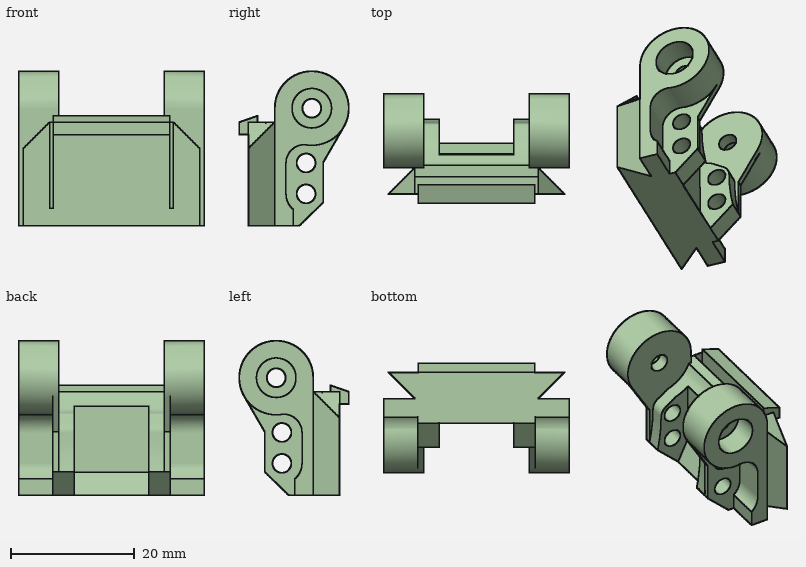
import cadquery as cq
import math

HALF_WIDTH = 15.0
PIVOT_Z = 19.0
PIVOT_RADIUS = 6.0
PIVOT_HOLE_DIA = 3.0
PIVOT_BORE_DIA = 6.4
PIVOT_BORE_DEPTH = 4.3

EAR_INNER_X = 8.5
EAR_PLATE_THICKNESS = 1.0
BACK_Y = 1.88
BACK_TOP_Z = 10.27
BACK_BOTTOM_Z = 3.8
HEEL_Y = -2.0

PIN_DIA = 3.0
PIN_Y = -0.92
UPPER_PIN_Z = 10.16
PIN_SPACING = 5.0
RELIEF_RADIUS = 3.25
RELIEF_TOP_RADIUS = 3.0
RELIEF_TOP_Z = 13.12
FOOT_Y = -3.0

CHEEK_INNER_X = 6.0
CHEEK_LOBE_RADIUS = 2.15
CHEEK_RAMP_END_Y = 0.0
CHEEK_CREST_Y = -1.65
WEB_TOP_Y = -3.93
WEB_LOW_Y = -3.75
WEB_LOW_Z = 3.7

DOVETAIL_NECK_X = 10.0
DOVETAIL_DEPTH = 4.24
DOVETAIL_HEIGHT = 16.75

LATCH_THICKNESS = 1.5
LATCH_GAP = 1.27
LATCH_SIDE_SLOT = 0.55
LATCH_ROOT_Z = 2.8
HOOK_REACH = 1.5
HOOK_DROP = 2.0
HOOK_RISE = 1.05

FRONT_Y = -PIVOT_RADIUS
LOWER_PIN_Z = UPPER_PIN_Z - PIN_SPACING
PLATE_OUTER_X = EAR_INNER_X + EAR_PLATE_THICKNESS
DOVETAIL_FACE_Y = FRONT_Y - DOVETAIL_DEPTH
DOVETAIL_WIDE_X = DOVETAIL_NECK_X + DOVETAIL_DEPTH
LATCH_BACK_Y = DOVETAIL_FACE_Y + LATCH_THICKNESS
LATCH_HALF_WIDTH = DOVETAIL_NECK_X - LATCH_SIDE_SLOT
CUT_MARGIN = 5.0


def side_sketch(x_start):
    """Workplane at x_start whose local axes are Y and Z."""
    return cq.Workplane("YZ", origin=(x_start, 0, 0))


def cylinder_x(x_start, x_end, y, z, radius):
    return side_sketch(x_start).center(y, z).circle(radius).extrude(x_end - x_start)


def both_sides(body):
    return body.union(body.mirror("YZ"))


def point_on_circle(y, z, radius, degrees):
    angle = math.radians(degrees)
    return (y + radius * math.cos(angle), z + radius * math.sin(angle))


def ear_profile(x_start):
    """Pivot eye running down to the heel; the sloped back is tangent to the eye."""
    drop = PIVOT_Z - BACK_TOP_Z
    corner_distance = math.hypot(BACK_Y, drop)
    corner_angle = math.degrees(math.atan2(-drop, BACK_Y))
    tangent_angle = corner_angle + math.degrees(math.acos(PIVOT_RADIUS / corner_distance))
    tangent_point = point_on_circle(0, PIVOT_Z, PIVOT_RADIUS, tangent_angle)
    return (
        side_sketch(x_start)
        .moveTo(FRONT_Y, 0)
        .lineTo(FRONT_Y, PIVOT_Z)
        .threePointArc((0, PIVOT_Z + PIVOT_RADIUS), tangent_point)
        .lineTo(BACK_Y, BACK_TOP_Z)
        .lineTo(BACK_Y, BACK_BOTTOM_Z)
        .lineTo(HEEL_Y, 0)
        .close()
    )


def make_ear_relief():
    """Space behind the ear, outside its plate, rounded in front of the pins and clear of the eye."""
    foot_angle = 180 + math.degrees(math.acos((PIN_Y - FOOT_Y) / RELIEF_RADIUS))
    wall_y = PIN_Y - RELIEF_RADIUS
    top_arc_y = wall_y + RELIEF_TOP_RADIUS
    top_arc_z = RELIEF_TOP_Z - RELIEF_TOP_RADIUS
    relief = (
        side_sketch(PLATE_OUTER_X)
        .moveTo(FOOT_Y, -CUT_MARGIN)
        .lineTo(*point_on_circle(PIN_Y, LOWER_PIN_Z, RELIEF_RADIUS, foot_angle))
        .threePointArc(
            point_on_circle(PIN_Y, LOWER_PIN_Z, RELIEF_RADIUS, (180 + foot_angle) / 2),
            (wall_y, LOWER_PIN_Z),
        )
        .lineTo(wall_y, top_arc_z)
        .threePointArc(
            point_on_circle(top_arc_y, top_arc_z, RELIEF_TOP_RADIUS, 135),
            (top_arc_y, RELIEF_TOP_Z),
        )
        .lineTo(top_arc_y, PIVOT_Z)
        .lineTo(PIVOT_RADIUS + CUT_MARGIN, PIVOT_Z)
        .lineTo(PIVOT_RADIUS + CUT_MARGIN, -CUT_MARGIN)
        .close()
        .extrude(HALF_WIDTH + CUT_MARGIN - PLATE_OUTER_X)
    )
    eye = cylinder_x(PLATE_OUTER_X, HALF_WIDTH + CUT_MARGIN, 0, PIVOT_Z, PIVOT_RADIUS)
    return relief.cut(eye)


def make_ear():
    ear = ear_profile(EAR_INNER_X).extrude(HALF_WIDTH - EAR_INNER_X)
    ear = ear.cut(make_ear_relief())
    ear = ear.cut(cylinder_x(EAR_INNER_X, HALF_WIDTH, 0, PIVOT_Z, PIVOT_HOLE_DIA / 2))
    return ear.cut(cylinder_x(HALF_WIDTH - PIVOT_BORE_DEPTH, HALF_WIDTH, 0, PIVOT_Z, PIVOT_BORE_DIA / 2))


def make_middle():
    """Web and cheeks between the ears, hollowed around the pivot eye of the mating part."""
    crest_angle = 270 - math.degrees(math.asin(-CHEEK_CREST_Y / PIVOT_RADIUS))
    front_angle = 180 + math.degrees(math.asin((PIVOT_Z - DOVETAIL_HEIGHT) / PIVOT_RADIUS))
    lobe_angle = math.degrees(math.acos((CHEEK_RAMP_END_Y - PIN_Y) / CHEEK_LOBE_RADIUS))
    middle = (
        side_sketch(-EAR_INNER_X)
        .moveTo(FRONT_Y, 0)
        .lineTo(FRONT_Y, DOVETAIL_HEIGHT)
        .lineTo(*point_on_circle(0, PIVOT_Z, PIVOT_RADIUS, front_angle))
        .threePointArc(
            point_on_circle(0, PIVOT_Z, PIVOT_RADIUS, (front_angle + crest_angle) / 2),
            point_on_circle(0, PIVOT_Z, PIVOT_RADIUS, crest_angle),
        )
        .lineTo(*point_on_circle(PIN_Y, UPPER_PIN_Z, CHEEK_LOBE_RADIUS, lobe_angle))
        .threePointArc(
            point_on_circle(PIN_Y, UPPER_PIN_Z, CHEEK_LOBE_RADIUS, lobe_angle / 2),
            (PIN_Y + CHEEK_LOBE_RADIUS, UPPER_PIN_Z),
        )
        .tangentArcPoint((BACK_Y, BACK_BOTTOM_Z), relative=False)
        .lineTo(HEEL_Y, 0)
        .close()
        .extrude(2 * EAR_INNER_X)
    )
    space_between_cheeks = (
        side_sketch(-CHEEK_INNER_X)
        .moveTo(HEEL_Y, 0)
        .lineTo(WEB_LOW_Y, WEB_LOW_Z)
        .lineTo(WEB_TOP_Y, PIVOT_Z)
        .lineTo(PIVOT_RADIUS, PIVOT_Z)
        .lineTo(PIVOT_RADIUS, 0)
        .close()
        .extrude(2 * CHEEK_INNER_X)
    )
    return middle.cut(space_between_cheeks)


def make_dovetail():
    flared_bar = (
        cq.Workplane("XY")
        .polyline([
            (-DOVETAIL_NECK_X, FRONT_Y),
            (DOVETAIL_NECK_X, FRONT_Y),
            (DOVETAIL_WIDE_X, DOVETAIL_FACE_Y),
            (-DOVETAIL_WIDE_X, DOVETAIL_FACE_Y),
        ])
        .close()
        .extrude(DOVETAIL_HEIGHT)
    )
    shoulder_z = DOVETAIL_HEIGHT - DOVETAIL_DEPTH
    clipped_outline = (
        cq.Workplane("XZ", origin=(0, FRONT_Y, 0))
        .polyline([
            (-DOVETAIL_WIDE_X, 0),
            (DOVETAIL_WIDE_X, 0),
            (DOVETAIL_WIDE_X, shoulder_z),
            (DOVETAIL_NECK_X, DOVETAIL_HEIGHT),
            (-DOVETAIL_NECK_X, DOVETAIL_HEIGHT),
            (-DOVETAIL_WIDE_X, shoulder_z),
        ])
        .close()
        .extrude(DOVETAIL_DEPTH)
    )
    return flared_bar.intersect(clipped_outline)


def make_latch_cut():
    """Gap behind the latch tongue and a slot along each of its sides."""
    cut_height = DOVETAIL_HEIGHT - LATCH_ROOT_Z + CUT_MARGIN
    cut_depth = LATCH_THICKNESS + LATCH_GAP
    pocket = (
        cq.Workplane("XY", origin=(0, DOVETAIL_FACE_Y + cut_depth / 2, LATCH_ROOT_Z))
        .rect(2 * DOVETAIL_NECK_X, cut_depth)
        .extrude(cut_height)
    )
    tongue = (
        cq.Workplane("XY", origin=(0, DOVETAIL_FACE_Y + LATCH_THICKNESS / 2, LATCH_ROOT_Z))
        .rect(2 * LATCH_HALF_WIDTH, LATCH_THICKNESS)
        .extrude(cut_height)
    )
    return pocket.cut(tongue)


def make_hook():
    """Sloped head on top of the latch tongue, overhanging the dovetail face."""
    hook_tip_y = DOVETAIL_FACE_Y - HOOK_REACH
    return (
        side_sketch(-LATCH_HALF_WIDTH)
        .moveTo(LATCH_BACK_Y, DOVETAIL_HEIGHT - HOOK_DROP)
        .lineTo(LATCH_BACK_Y, DOVETAIL_HEIGHT + HOOK_RISE)
        .lineTo(hook_tip_y, DOVETAIL_HEIGHT)
        .lineTo(hook_tip_y, DOVETAIL_HEIGHT - HOOK_DROP)
        .close()
        .extrude(2 * LATCH_HALF_WIDTH)
    )


body = both_sides(make_ear()).union(make_middle())
for pin_z in (UPPER_PIN_Z, LOWER_PIN_Z):
    body = body.cut(cylinder_x(-HALF_WIDTH, HALF_WIDTH, PIN_Y, pin_z, PIN_DIA / 2))

latch_dovetail = make_dovetail().cut(make_latch_cut()).union(make_hook())
result = body.union(latch_dovetail)